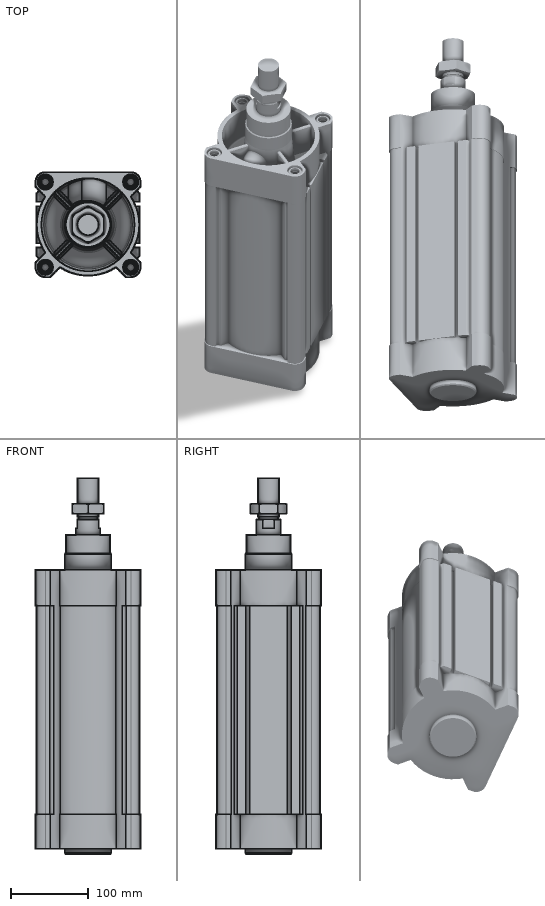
import cadquery as cq
import math

REAR_CAP_BOTTOM = 7.0
REAR_CAP_TOP = 51.5
FRONT_CAP_BOTTOM = 320.5
FRONT_CAP_TOP = 366.5
COLLAR_STEP_TOP = 388.0
COLLAR_TOP = 412.0
ROD_SHOULDER = 432.0
ROD_TOP = 485.0

CAP_WIDTH = 136.0
HALF_WIDTH = CAP_WIDTH / 2
SCREW_SPACING = 110.0
SCREW_OFFSET = SCREW_SPACING / 2
LUG_RADIUS = HALF_WIDTH - SCREW_OFFSET
LUG_FLAT_END = 49.0
CAP_RADIUS = 66.0

BARREL_RADIUS = 65.5
BARREL_INSET = 1.2
LUG_GROOVE_DIAMETER = 6.5
LUG_GROOVE_INSET = 2.65
WING_HALF_WIDTH = 40.3
WING_CHAMFER = 4.0
SLOT_CENTER = 26.5
SLOT_WIDTH = 5.5
SLOT_DEPTH = 7.5

COLLAR_DIAMETER = 60.0
COLLAR_UPPER_DIAMETER = 57.0
SPIGOT_CHAMFER = 1.5
COLLAR_STEP_CHAMFER = 1.0

CAVITY_FLOOR = 325.0
CAVITY_TOP_DIAMETER = 120.5
CAVITY_FLOOR_DIAMETER = 113.5
CAVITY_FILLET = 2.0
COLLAR_BASE_DIAMETER = 68.0
RIB_TOP = 363.0
RIB_TOP_WIDTH = 3.0
RIB_BASE_WIDTH = 10.5
RIB_SHOULDER_WIDTH = 5.0
PORT_BOSS_DIAMETER = 32.0
PORT_BOSS_X = 8.0
SIDE_BOSS_DIAMETER = 33.0
SIDE_BOSS_X = -9.0
SIDE_BOSS_Z = 326.5
PORT_BOSS_Z = (FRONT_CAP_BOTTOM + FRONT_CAP_TOP) / 2

SCREW_RECESS_DIAMETER = 20.0
SCREW_HEAD_DIAMETER = 18.0
SCREW_HEAD_CHAMFER = 1.5
SCREW_RECESS_DEPTH = 5.0
SCREW_HEAD_DROP = 1.5
SCREW_SOCKET_DIAMETER = 12.0
SCREW_SOCKET_DEPTH = 6.0
SCREW_BORE_DIAMETER = 10.0
SCREW_BORE_DEPTH = 14.5

ROD_DIAMETER = 32.0
ROD_CHAMFER = 1.0
THREAD_DIAMETER = 27.0
NECK_DIAMETER = 24.5
NECK_TOP = 435.5
FLATS_WIDTH = 28.0
FLATS_BOTTOM = 420.5
NUT_BOTTOM = 439.0
NUT_TOP = 452.0
NUT_ACROSS_FLATS = 41.0
NUT_CHAMFER_HEIGHT = 1.0
NUT_CHAMFER_ANGLE = 30.0


def cylinder(diameter, bottom, top, x=0.0, y=0.0):
    """Vertical cylinder between two heights."""
    return cq.Workplane("XY", origin=(x, y, bottom)).circle(diameter / 2).extrude(top - bottom)


def cone(bottom_diameter, top_diameter, bottom, top):
    """Cone frustum on the Z axis."""
    points = [(0, bottom), (bottom_diameter / 2, bottom), (top_diameter / 2, top), (0, top)]
    return cq.Workplane("XZ").polyline(points).close().revolve(360, (0, 0, 0), (0, 1, 0))


def box(x_size, y_size, bottom, top, x=0.0, y=0.0):
    """Upright box between two heights."""
    return cq.Workplane("XY", origin=(x, y, bottom)).rect(x_size, y_size).extrude(top - bottom)


def lugged_block(radius, inset, bottom, top):
    """Round block with a diagonal lug at each corner, its outer edge set in from the full width."""
    edge = HALF_WIDTH - inset
    arc_mid = SCREW_OFFSET + (LUG_RADIUS - inset) * math.sqrt(0.5)
    root = HALF_WIDTH - LUG_FLAT_END
    flat_end = edge - root
    corner = (
        cq.Workplane("XY", origin=(0, 0, bottom))
        .moveTo(root, 0)
        .lineTo(edge, flat_end)
        .lineTo(edge, SCREW_OFFSET)
        .threePointArc((arc_mid, arc_mid), (SCREW_OFFSET, edge))
        .lineTo(flat_end, edge)
        .lineTo(0, root)
        .close()
        .extrude(top - bottom)
    )
    block = cylinder(2 * radius, bottom, top)
    for quarter in range(4):
        block = block.union(corner.rotate((0, 0, 0), (0, 0, 1), 90 * quarter))
    return block


def end_cap(bottom, top):
    """End cap with a flat +Y side for the air port."""
    port_side = box(2 * SCREW_OFFSET, SCREW_OFFSET, bottom, top, 0, HALF_WIDTH - SCREW_OFFSET / 2)
    clear_sides = cylinder(2 * CAP_RADIUS, bottom, top).union(
        box(2 * LUG_FLAT_END, LUG_RADIUS, bottom, top, 0, HALF_WIDTH - LUG_RADIUS / 2)
    )
    return lugged_block(CAP_RADIUS, 0, bottom, top).union(port_side.intersect(clear_sides))


def barrel():
    """Extruded barrel with grooved lugs and slotted wings on the X sides."""
    body = lugged_block(BARREL_RADIUS, BARREL_INSET, REAR_CAP_TOP, FRONT_CAP_BOTTOM)
    near = LUG_FLAT_END - LUG_GROOVE_INSET
    far = HALF_WIDTH - LUG_GROOVE_INSET
    for side_x in (-1, 1):
        for side_y in (-1, 1):
            groove = cylinder(
                LUG_GROOVE_DIAMETER, REAR_CAP_TOP, FRONT_CAP_BOTTOM, side_x * near, side_y * far
            )
            body = body.cut(groove)
    wing_edge = HALF_WIDTH - BARREL_INSET
    wing_root = WING_HALF_WIDTH + WING_CHAMFER
    for side in (-1, 1):
        outline = [
            (0, -wing_root),
            (side * (wing_edge - WING_CHAMFER), -wing_root),
            (side * wing_edge, -WING_HALF_WIDTH),
            (side * wing_edge, WING_HALF_WIDTH),
            (side * (wing_edge - WING_CHAMFER), wing_root),
            (0, wing_root),
        ]
        wing = (
            cq.Workplane("XY", origin=(0, 0, REAR_CAP_TOP))
            .polyline(outline)
            .close()
            .extrude(FRONT_CAP_BOTTOM - REAR_CAP_TOP)
        )
        body = body.union(wing)
    slots = (
        cq.Workplane("XY", origin=(0, 0, REAR_CAP_TOP))
        .pushPoints([(x, y) for x in (-wing_edge, wing_edge) for y in (-SLOT_CENTER, SLOT_CENTER)])
        .rect(2 * SLOT_DEPTH, SLOT_WIDTH)
        .extrude(FRONT_CAP_BOTTOM - REAR_CAP_TOP)
    )
    return body.cut(slots)


def port_boss(diameter, x, z):
    """Horizontal cylinder from the axis plane to the +Y side."""
    return cq.Workplane("XZ", origin=(x, 0, z)).circle(diameter / 2).extrude(-HALF_WIDTH)


def cavity():
    """Tapered annular cavity of the front cap, less its ribs and port bosses."""
    space = cone(CAVITY_FLOOR_DIAMETER, CAVITY_TOP_DIAMETER, CAVITY_FLOOR, FRONT_CAP_TOP)
    space = space.cut(cone(COLLAR_BASE_DIAMETER, COLLAR_DIAMETER, CAVITY_FLOOR, FRONT_CAP_TOP))
    space = space.faces("<Z").edges().fillet(CAVITY_FILLET)
    rib_shoulder = RIB_TOP - (RIB_SHOULDER_WIDTH - RIB_TOP_WIDTH) / 2
    rib_outline = [
        (-RIB_BASE_WIDTH / 2, CAVITY_FLOOR),
        (RIB_BASE_WIDTH / 2, CAVITY_FLOOR),
        (RIB_SHOULDER_WIDTH / 2, rib_shoulder),
        (RIB_TOP_WIDTH / 2, RIB_TOP),
        (-RIB_TOP_WIDTH / 2, RIB_TOP),
        (-RIB_SHOULDER_WIDTH / 2, rib_shoulder),
    ]
    rib = cq.Workplane("XZ").polyline(rib_outline).close().extrude(HALF_WIDTH, both=True)
    for angle in (-45, 45):
        space = space.cut(rib.rotate((0, 0, 0), (0, 0, 1), angle))
    space = space.cut(port_boss(PORT_BOSS_DIAMETER, PORT_BOSS_X, PORT_BOSS_Z))
    return space.cut(port_boss(SIDE_BOSS_DIAMETER, SIDE_BOSS_X, SIDE_BOSS_Z))


def screw_hole(x, y):
    """Ring-shaped clearance around a screw head, with the stepped socket in the head."""
    recess = cylinder(SCREW_RECESS_DIAMETER, FRONT_CAP_TOP - SCREW_RECESS_DEPTH, FRONT_CAP_TOP, x, y)
    head_top = FRONT_CAP_TOP - SCREW_HEAD_DROP
    head = cylinder(SCREW_HEAD_DIAMETER, FRONT_CAP_TOP - SCREW_RECESS_DEPTH, head_top, x, y)
    head = head.faces(">Z").chamfer(SCREW_HEAD_CHAMFER)
    socket = cylinder(SCREW_SOCKET_DIAMETER, head_top - SCREW_SOCKET_DEPTH, head_top, x, y)
    socket = socket.faces("<Z").chamfer((SCREW_SOCKET_DIAMETER - SCREW_BORE_DIAMETER) / 2)
    bore = cylinder(SCREW_BORE_DIAMETER, head_top - SCREW_BORE_DEPTH, head_top, x, y)
    return recess.cut(head).union(socket).union(bore)


def make_housing():
    """Caps, barrel, collar and spigot as one body with a blind bore for the rod."""
    body = end_cap(REAR_CAP_BOTTOM, REAR_CAP_TOP)
    body = body.union(barrel())
    body = body.union(end_cap(FRONT_CAP_BOTTOM, FRONT_CAP_TOP))
    spigot = cylinder(COLLAR_DIAMETER, 0, REAR_CAP_BOTTOM).faces("<Z").chamfer(SPIGOT_CHAMFER)
    body = body.union(spigot)
    body = body.cut(cavity())
    lower_collar = cylinder(COLLAR_DIAMETER, FRONT_CAP_TOP, COLLAR_STEP_TOP)
    lower_collar = lower_collar.faces(">Z").chamfer(COLLAR_STEP_CHAMFER)
    body = body.union(lower_collar)
    body = body.union(cylinder(COLLAR_UPPER_DIAMETER, COLLAR_STEP_TOP, COLLAR_TOP))
    for x in (-SCREW_OFFSET, SCREW_OFFSET):
        for y in (-SCREW_OFFSET, SCREW_OFFSET):
            body = body.cut(screw_hole(x, y))
    return body.cut(cylinder(ROD_DIAMETER, CAVITY_FLOOR, COLLAR_TOP))


def make_rod():
    """Piston rod with wrench flats on the X sides, a relief neck and a threaded end."""
    rod = cylinder(ROD_DIAMETER, CAVITY_FLOOR, ROD_SHOULDER).faces(">Z").chamfer(ROD_CHAMFER)
    flat_depth = (ROD_DIAMETER - FLATS_WIDTH) / 2
    for side in (-1, 1):
        flat_center = side * (FLATS_WIDTH + flat_depth) / 2
        rod = rod.cut(box(flat_depth, ROD_DIAMETER, FLATS_BOTTOM, ROD_SHOULDER, flat_center))
    rod = rod.union(cylinder(NECK_DIAMETER, ROD_SHOULDER, NECK_TOP))
    return rod.union(cylinder(THREAD_DIAMETER, NECK_TOP, ROD_TOP))


def make_nut():
    """Hexagonal lock nut with flats on the X sides and chamfered corners."""
    across_corners = NUT_ACROSS_FLATS / math.cos(math.pi / 6)
    nut = (
        cq.Workplane("XY", origin=(0, 0, NUT_BOTTOM))
        .polygon(6, across_corners)
        .extrude(NUT_TOP - NUT_BOTTOM)
        .rotate((0, 0, 0), (0, 0, 1), 30)
    )
    chamfer_width = NUT_CHAMFER_HEIGHT / math.tan(math.radians(NUT_CHAMFER_ANGLE))
    envelope = cylinder(across_corners, NUT_BOTTOM, NUT_TOP)
    envelope = envelope.faces(">Z or <Z").chamfer(NUT_CHAMFER_HEIGHT, chamfer_width)
    return nut.intersect(envelope).cut(cylinder(THREAD_DIAMETER, NUT_BOTTOM, NUT_TOP))


housing = make_housing()
rod = make_rod()
nut = make_nut()
result = cq.Compound.makeCompound([housing.val(), rod.val(), nut.val()])